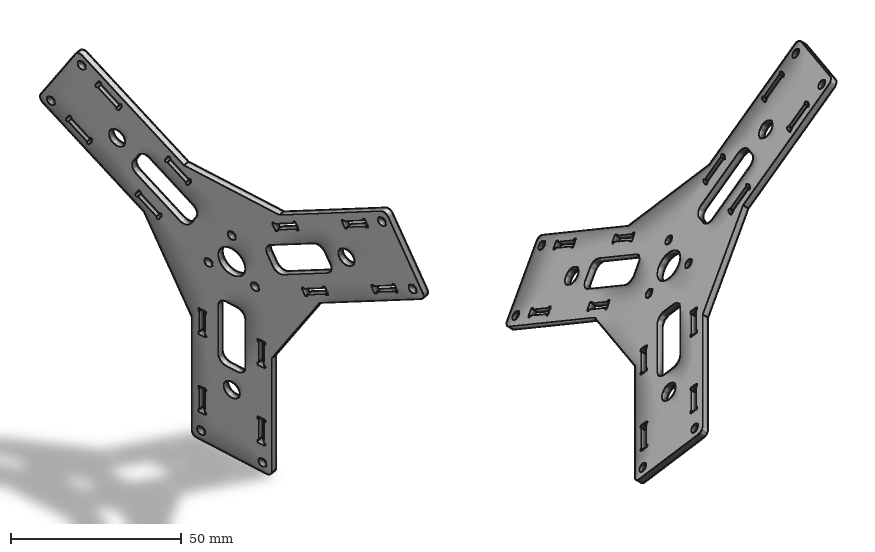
import cadquery as cq
import math

span = 143.5
thickness = 2.2
arm_count = 3
arm_angle = 360.0 / arm_count

arm_width = 30.0
arm_corner_radius = 2.0
hub_reach = 29.3

centre_hole_diameter = 10.0
hub_screw_diameter = 3.0
hub_screw_circle_radius = 10.0

window_width = 10.0
window_length = 24.8
window_corner_radius = 3.0
window_distance = 29.0
round_hole_diameter = 6.0
round_hole_distance = 49.5
end_hole_diameter = 3.0
end_hole_spacing = 23.0
end_hole_distance = 71.5
slot_width = 2.0
slot_length = 10.0
slot_relief_diameter = 1.0
slot_spacing = 22.1
slot_distances = (29.5, 59.5)

arm_tilt = math.radians(30)
corner_loss = arm_corner_radius * (math.cos(arm_tilt) + math.sin(arm_tilt) - 1)
arm_length = (span / 2 + corner_loss - arm_width / 2 * math.sin(arm_tilt)) / math.cos(arm_tilt)


def extrude(sketch):
    """Give a sketch the plate thickness, centred on the XZ plane."""
    return sketch.extrude(thickness / 2, both=True)


def sketch_at(points):
    """Start a sketch in the XZ plane at the given (x, z) points."""
    return cq.Workplane("XZ").pushPoints(points)


def turned(body, index):
    """Turn a body about the plate centre to the arm with the given index."""
    return body.rotate((0, 0, 0), (0, 1, 0), index * arm_angle)


def hub():
    """Six-sided hub whose corners are the points where the arm sides begin."""
    corner_radius = math.hypot(hub_reach, arm_width / 2)
    half_angle = math.degrees(math.atan2(arm_width / 2, hub_reach))
    angles = []
    for index in range(arm_count):
        middle = -90 + index * arm_angle
        angles += [middle - half_angle, middle + half_angle]
    corners = [
        (corner_radius * math.cos(math.radians(a)), corner_radius * math.sin(math.radians(a)))
        for a in angles
    ]
    return extrude(cq.Workplane("XZ").polyline(corners).close())


def arm():
    """Downward arm from the plate centre to its rounded free end."""
    blank = extrude(sketch_at([(0, -arm_length / 2)]).rect(arm_width, arm_length))
    return blank.edges("|Y").edges("<Z").fillet(arm_corner_radius)


def slot():
    """Narrow slot with a round relief at each corner, flush with its ends, centred on the origin."""
    relief_x = slot_width / 2
    relief_z = slot_length / 2 - slot_relief_diameter / 2
    reliefs = [(x, z) for x in (-relief_x, relief_x) for z in (-relief_z, relief_z)]
    body = extrude(cq.Workplane("XZ").rect(slot_width, slot_length))
    return body.union(extrude(sketch_at(reliefs).circle(slot_relief_diameter / 2)))


def arm_openings():
    """Everything cut through the downward arm."""
    window = extrude(sketch_at([(0, -window_distance)]).rect(window_width, window_length))
    openings = window.edges("|Y").fillet(window_corner_radius)
    openings = openings.add(extrude(sketch_at([(0, -round_hole_distance)]).circle(round_hole_diameter / 2)))
    for side in (-1, 1):
        end_hole_place = (side * end_hole_spacing / 2, -end_hole_distance)
        openings = openings.add(extrude(sketch_at([end_hole_place]).circle(end_hole_diameter / 2)))
        for distance in slot_distances:
            openings = openings.add(slot().translate((side * slot_spacing / 2, 0, -distance)))
    return openings.combine()


def hub_screw_hole():
    """Screw hole above the plate centre, opposite the downward arm."""
    return extrude(sketch_at([(0, hub_screw_circle_radius)]).circle(hub_screw_diameter / 2))


plate = hub()
for arm_index in range(arm_count):
    plate = plate.union(turned(arm(), arm_index))

plate = plate.cut(extrude(cq.Workplane("XZ").circle(centre_hole_diameter / 2)))
for arm_index in range(arm_count):
    plate = plate.cut(turned(arm_openings(), arm_index))
    plate = plate.cut(turned(hub_screw_hole(), arm_index))

result = plate